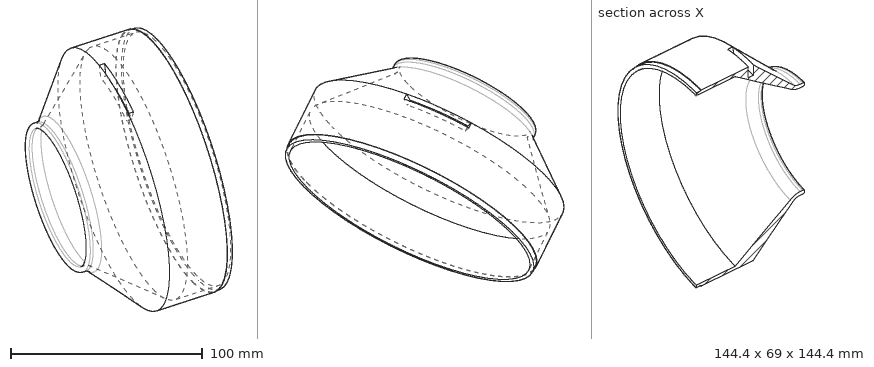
import cadquery as cq
import math

total_length = 69.0
rim_length = 3.0
body_length = 36.1
neck_bend_start = 61.8
neck_bend_end = 65.8
inner_cone_start = 24.7

body_radius = 144.4 / 2
body_bore_radius = 139.0 / 2
rim_step = 0.5
neck_radius = 82.0 / 2
neck_bore_radius = 76.0 / 2
neck_bend_start_radius = 42.7

slot_width = 3.0
slot_floor_radius = 64.4
slot_half_angle = math.radians(15)

rim_radius = body_radius - rim_step
neck_wall = neck_radius - neck_bore_radius
lip_radius = neck_wall / 2
lip_start = total_length - lip_radius

bend_length = neck_bend_end - neck_bend_start
bend_rise = neck_bend_start_radius - neck_radius
bend_radius = (bend_length**2 + bend_rise**2) / (2 * bend_rise)
bend_angle = math.asin(bend_length / bend_radius)
bend_center_radius = neck_radius + bend_radius


def bend_point(radius, angle):
    """Return (radial, axial) on a bend arc; angle zero is the neck end."""
    return (
        bend_center_radius - radius * math.cos(angle),
        neck_bend_end - radius * math.sin(angle),
    )


def make_shell():
    """Revolve the wall section around the Y axis."""
    inner_bend_radius = bend_radius + neck_wall
    inner_cone_end = bend_point(inner_bend_radius, bend_angle)
    section = (
        cq.Workplane("XY")
        .moveTo(body_bore_radius, 0)
        .lineTo(rim_radius, 0)
        .lineTo(rim_radius, rim_length)
        .lineTo(body_radius, rim_length)
        .lineTo(body_radius, body_length)
        .lineTo(neck_bend_start_radius, neck_bend_start)
        .threePointArc(bend_point(bend_radius, bend_angle / 2), (neck_radius, neck_bend_end))
        .lineTo(neck_radius, lip_start)
        .threePointArc((neck_radius - lip_radius, total_length), (neck_bore_radius, lip_start))
        .lineTo(neck_bore_radius, neck_bend_end)
        .threePointArc(bend_point(inner_bend_radius, bend_angle / 2), inner_cone_end)
        .lineTo(body_bore_radius, inner_cone_start)
        .close()
    )
    return section.revolve(360, (0, 0, 0), (0, 1, 0)).rotate((0, 0, 0), (0, 0, 1), 180)


def make_slot_cutter():
    """Ring sector around the Y axis, centred on the top of the body."""
    cut_radius = body_radius + slot_width

    def sector_point(radius, angle):
        return (radius * math.sin(angle), radius * math.cos(angle))

    return (
        cq.Workplane("XZ", origin=(0, slot_width - body_length, 0))
        .moveTo(*sector_point(slot_floor_radius, -slot_half_angle))
        .lineTo(*sector_point(cut_radius, -slot_half_angle))
        .threePointArc(sector_point(cut_radius, 0), sector_point(cut_radius, slot_half_angle))
        .lineTo(*sector_point(slot_floor_radius, slot_half_angle))
        .threePointArc(
            sector_point(slot_floor_radius, 0),
            sector_point(slot_floor_radius, -slot_half_angle),
        )
        .close()
        .extrude(slot_width)
    )


result = make_shell().cut(make_slot_cutter())